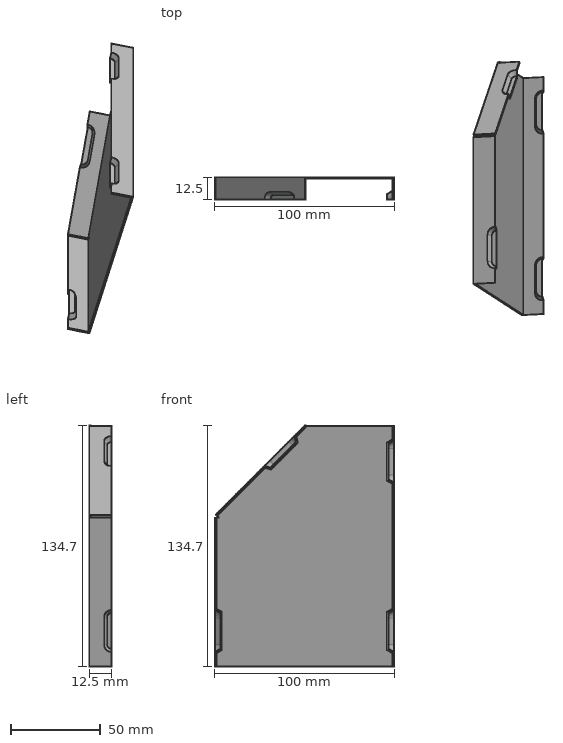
import cadquery as cq
import math

width = 100.0
plate_height = 134.3
depth = 12.5
sheet = 1.0

slope_rise = 84.2
total_height = 134.7
slope_top = (total_height - slope_rise, total_height)
slope_bottom_inset = 0.5
slope_bottom = (slope_bottom_inset, slope_rise + slope_bottom_inset)
slope_length = math.dist(slope_top, slope_bottom)
slope_overshoot = (total_height - plate_height) * math.sqrt(2)
left_height = 83.1

dent_depth = 3.0
dent_taper = 30.0
dent_floor_radius = 2.5
dent_straight = 15.0
dent_end_distance = 20.0
sloped_dent_distance = 20.5

dent_slope = math.tan(math.radians(dent_taper))
dent_mouth_radius = dent_floor_radius + dent_depth * dent_slope
wall_offset = sheet / math.cos(math.radians(dent_taper))


def tapered_half_slot(frame, position, mouth_radius, height):
    """Tapered slot on the flange's outer face, kept on the sheet side of the free edge."""
    slot = (
        cq.Workplane(frame)
        .center(position, 0)
        .slot2D(dent_straight + 2 * mouth_radius, 2 * mouth_radius)
        .extrude(height, taper=dent_taper)
    )
    keep = (
        cq.Workplane(frame)
        .center(position, 0)
        .rect(2 * dent_straight, 2 * depth)
        .extrude(height)
        .intersect(cq.Workplane("XY").box(4 * width, depth, 4 * width, centered=(True, False, True)))
    )
    return slot.intersect(keep)


def fold_frame(start, along, inward):
    """Frame at start (x, z): x runs along the fold, y toward the plate, z into the part."""
    return cq.Plane(
        origin=(start[0], 0, start[1]),
        xDir=(along[0], 0, along[1]),
        normal=(inward[0], 0, inward[1]),
    )


def flange(frame, length, dent_positions, wall_start=0):
    """Flange wall with dents pressed inward at distances along the fold."""
    body = (
        cq.Workplane(frame)
        .center(wall_start, 0)
        .rect(length - wall_start, depth, centered=False)
        .extrude(sheet)
    )
    for position in dent_positions:
        shell = tapered_half_slot(frame, position, dent_mouth_radius + wall_offset, dent_depth + sheet)
        body = body.union(shell)
    for position in dent_positions:
        body = body.cut(tapered_half_slot(frame, position, dent_mouth_radius, dent_depth))
    return body


def back_plate():
    """Plate with the sloped corner; both ends of the slope are cut square to it."""
    tip_rise = total_height - plate_height
    notch_drop = slope_bottom[1] - left_height
    outline = [
        (0, 0),
        (width, 0),
        (width, plate_height),
        (slope_top[0] + tip_rise, plate_height),
        slope_top,
        slope_bottom,
        (slope_bottom[0] + notch_drop, left_height),
        (0, left_height),
    ]
    return cq.Workplane("XZ", origin=(0, depth, 0)).polyline(outline).close().extrude(sheet)


left_frame = fold_frame((0, left_height), (0, -1), (1, 0))
right_frame = fold_frame((width, 0), (0, 1), (-1, 0))
sloped_frame = fold_frame(slope_top, (-1, -1), (1, -1))

left_flange = flange(left_frame, left_height, [left_height - dent_end_distance])
right_flange = flange(right_frame, plate_height, [dent_end_distance, plate_height - dent_end_distance])
sloped_flange = flange(sloped_frame, slope_length, [sloped_dent_distance], wall_start=slope_overshoot)

result = back_plate().union(left_flange).union(right_flange).union(sloped_flange)